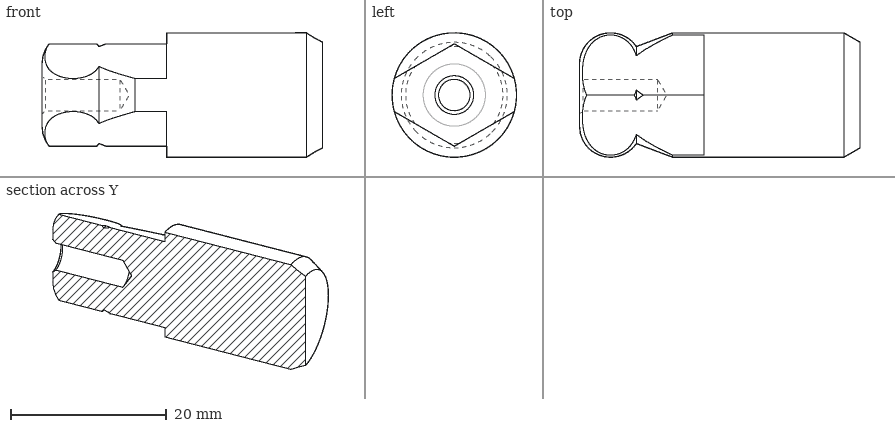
import cadquery as cq
import math

length = 36.0
body_radius = 8.0
shoulder_x = 16.0

nose_fillet = 4.0
neck_x = 7.3
taper_end_x = 11.95

chamfer_length = 2.1
chamfer_angle = 30.0

flat_distance = 5.7
flat_angle = 30.0

hole_radius = 2.0
mouth_radius = 2.5
hole_depth = 10.0
drill_point_angle = 118.0


def make_body():
    """Revolve the half profile of the nose, neck and body about X."""
    nose_center_r = body_radius - nose_fillet
    neck_rise = math.sqrt(nose_fillet**2 - (neck_x - nose_fillet) ** 2)
    crest = (nose_fillet, body_radius)
    rear_radius = body_radius - chamfer_length * math.tan(math.radians(chamfer_angle))
    return (
        cq.Workplane("XY")
        .moveTo(0, 0)
        .lineTo(0, nose_center_r)
        .threePointArc(crest, (neck_x, nose_center_r + neck_rise))
        .lineTo(taper_end_x, body_radius)
        .lineTo(length - chamfer_length, body_radius)
        .lineTo(length, rear_radius)
        .lineTo(length, 0)
        .close()
        .revolve(360, (0, 0, 0), (1, 0, 0))
    )


def make_flats_envelope():
    """Rhombic prism bounding the front section, joined to a full-size block behind."""
    ridge_z = flat_distance / math.cos(math.radians(flat_angle))
    side_y = flat_distance / math.sin(math.radians(flat_angle))
    front = (
        cq.Workplane("YZ")
        .polyline([(side_y, 0), (0, ridge_z), (-side_y, 0), (0, -ridge_z)])
        .close()
        .extrude(shoulder_x)
    )
    block_width = 3 * body_radius
    rear = (
        cq.Workplane("YZ", origin=(shoulder_x, 0, 0))
        .rect(block_width, block_width)
        .extrude(length - shoulder_x)
    )
    return front.union(rear)


def make_hole():
    """Revolve the half profile of the nose hole about X."""
    mouth_depth = mouth_radius - hole_radius
    point_depth = hole_radius / math.tan(math.radians(drill_point_angle / 2))
    return (
        cq.Workplane("XY")
        .polyline([
            (0, 0),
            (0, mouth_radius),
            (mouth_depth, hole_radius),
            (hole_depth, hole_radius),
            (hole_depth + point_depth, 0),
        ])
        .close()
        .revolve(360, (0, 0, 0), (1, 0, 0))
    )


result = make_body().intersect(make_flats_envelope()).cut(make_hole())